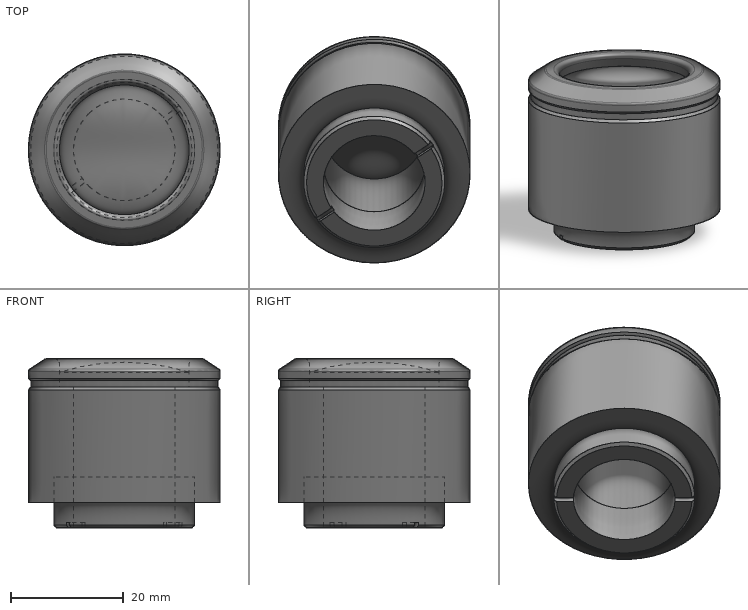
import cadquery as cq
import math

total_height = 30.0
barrel_bottom_z = 4.5
cap_bottom_z = 25.0
outer_radius = 34.0 / 2
edge_round = 0.5

neck_radius = 33.2 / 2
rim_bottom_z = 26.5
rim_chamfer_height = 0.4
barrel_chamfer_height = 0.5

cap_cone_height = 2.0
cap_top_radius = 28.0 / 2
window_radius = 23.0 / 2
window_round = 1.0

lens_edge_z = 27.6
lens_surface_radius = 38.0

cell_radius = 25.0 / 2
cell_chamfer = 0.5
cell_insertion = 4.5
light_bore_radius = 18.0 / 2
slot_width = 0.9
slot_depth = 1.0
slot_angle = math.degrees(math.atan2(3, 4))


def revolve_profile(profile):
    """Turn a closed (radius, Z) profile on the XZ plane about the Z axis."""
    return profile.close().revolve(360, (0, 0, 0), (0, 1, 0))


def make_barrel():
    counterbore_top_z = barrel_bottom_z + cell_insertion
    profile = (
        cq.Workplane("XZ")
        .moveTo(cell_radius, barrel_bottom_z)
        .lineTo(outer_radius, barrel_bottom_z)
        .lineTo(outer_radius, cap_bottom_z - barrel_chamfer_height)
        .lineTo(neck_radius, cap_bottom_z)
        .lineTo(light_bore_radius, cap_bottom_z)
        .lineTo(light_bore_radius, counterbore_top_z)
        .lineTo(cell_radius, counterbore_top_z)
    )
    return revolve_profile(profile)


def make_cap():
    profile = (
        cq.Workplane("XZ")
        .moveTo(window_radius, cap_bottom_z)
        .lineTo(neck_radius, cap_bottom_z)
        .lineTo(neck_radius, rim_bottom_z - rim_chamfer_height)
        .lineTo(outer_radius, rim_bottom_z)
        .lineTo(outer_radius, total_height - cap_cone_height)
        .lineTo(cap_top_radius, total_height)
        .lineTo(window_radius, total_height)
    )
    cap = revolve_profile(profile)

    cap = cap.faces("%CONE").faces(">Z").edges("%CIRCLE").fillet(edge_round)
    window_mouth = cap.faces(">Z").edges(cq.selectors.RadiusNthSelector(0))
    return window_mouth.fillet(window_round)


def make_front_lens():
    dome_height = lens_surface_radius - math.sqrt(lens_surface_radius**2 - window_radius**2)
    apex_z = lens_edge_z + dome_height
    half_radius = window_radius / 2
    half_drop = lens_surface_radius - math.sqrt(lens_surface_radius**2 - half_radius**2)
    profile = (
        cq.Workplane("XZ")
        .moveTo(0, cap_bottom_z)
        .lineTo(window_radius, cap_bottom_z)
        .lineTo(window_radius, lens_edge_z)
        .threePointArc((half_radius, apex_z - half_drop), (0, apex_z))
    )
    return revolve_profile(profile)


def make_rear_cell():
    cell = (
        cq.Workplane("XY")
        .circle(cell_radius)
        .circle(light_bore_radius)
        .extrude(barrel_bottom_z + cell_insertion)
    )
    outer_bottom_edge = cell.faces("<Z").edges(cq.selectors.RadiusNthSelector(-1))
    cell = outer_bottom_edge.chamfer(cell_chamfer)

    spanner_slot = (
        cq.Workplane("XY")
        .box(2 * outer_radius, slot_width, slot_depth, centered=(True, True, False))
        .rotate((0, 0, 0), (0, 0, 1), slot_angle)
    )
    return cell.cut(spanner_slot)


barrel = make_barrel()
cap = make_cap()
front_lens = make_front_lens()
rear_cell = make_rear_cell()

result = cq.Compound.makeCompound([barrel.val(), cap.val(), front_lens.val(), rear_cell.val()])